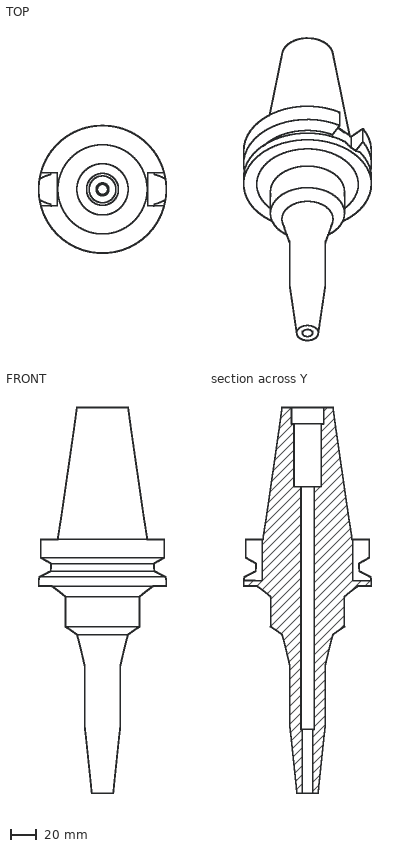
import cadquery as cq
import math

taper_top_z = 101.8
flange_top_z = -1.5
flange_bottom_z = -38.0
groove_top_z = -15.9
groove_bottom_z = -30.8
groove_wall_angle = 30.0
hub_top_z = -46.3
hub_bottom_z = -69.8
neck_top_z = -76.0
shank_top_z = -100.5
shank_bottom_z = -148.0
nose_z = -200.0

gauge_diameter = 69.85
taper_ratio = 7 / 24
flange_diameter = 100.0
groove_floor_diameter = 84.6
collar_diameter = 79.5
hub_diameter = 58.0
neck_top_diameter = 40.0
shank_diameter = 28.0
nose_diameter = 17.0

slot_width = 25.7
slot_floor_x = 35.4
slot_bottom_z = -33.6

counterbore_diameter = 25.0
counterbore_depth = 13.0
thread_bore_diameter = 21.0
thread_bore_depth = 62.0
coolant_bore_diameter = 10.0
coolant_bore_end_z = -150.0
tool_bore_diameter = 8.0


def revolve_about_z(points):
    """Revolve a closed outline of (radius, z) points into a solid about Z."""
    return cq.Workplane("YZ").polyline(points).close().revolve(360, (0, 0, 0), (0, 1, 0))


def make_body():
    """Outer shape of the holder, without the flange groove."""
    taper_top_diameter = gauge_diameter - taper_ratio * taper_top_z
    diameter_and_z = [
        (taper_top_diameter, taper_top_z),
        (gauge_diameter, 0),
        (gauge_diameter, flange_top_z),
        (flange_diameter, flange_top_z),
        (flange_diameter, flange_bottom_z),
        (collar_diameter, flange_bottom_z),
        (hub_diameter, hub_top_z),
        (hub_diameter, hub_bottom_z),
        (neck_top_diameter, neck_top_z),
        (shank_diameter, shank_top_z),
        (shank_diameter, shank_bottom_z),
        (nose_diameter, nose_z),
    ]
    outline = [(diameter / 2, z) for diameter, z in diameter_and_z]
    return revolve_about_z([(0, taper_top_z), *outline, (0, nose_z)])


def make_groove():
    """V-sided, flat-bottomed ring that cuts the gripper groove into the flange."""
    flange_radius = flange_diameter / 2
    floor_radius = groove_floor_diameter / 2
    wall_height = (flange_radius - floor_radius) * math.tan(math.radians(groove_wall_angle))
    return revolve_about_z([
        (flange_radius, groove_top_z),
        (floor_radius, groove_top_z - wall_height),
        (floor_radius, groove_bottom_z + wall_height),
        (flange_radius, groove_bottom_z),
    ])


def make_bore(diameter, end_z):
    """Cylinder from the spindle end down to end_z."""
    length = taper_top_z - end_z
    return cq.Workplane("XY", origin=(0, 0, end_z)).circle(diameter / 2).extrude(length)


def make_drive_slot(side):
    """Round-bottomed key slot on the +X (side = 1) or -X (side = -1) flank of the flange."""
    radius = slot_width / 2
    arc_center_z = slot_bottom_z + radius
    depth = flange_diameter / 2 - slot_floor_x
    return (
        cq.Workplane("YZ", origin=(side * slot_floor_x, 0, 0))
        .moveTo(-radius, flange_top_z)
        .lineTo(-radius, arc_center_z)
        .threePointArc((0, slot_bottom_z), (radius, arc_center_z))
        .lineTo(radius, flange_top_z)
        .close()
        .extrude(side * depth)
    )


bores = [
    (counterbore_diameter, taper_top_z - counterbore_depth),
    (thread_bore_diameter, taper_top_z - thread_bore_depth),
    (coolant_bore_diameter, coolant_bore_end_z),
    (tool_bore_diameter, nose_z),
]

result = make_body().cut(make_groove())
for bore_diameter, bore_end_z in bores:
    result = result.cut(make_bore(bore_diameter, bore_end_z))
for flank in (1, -1):
    result = result.cut(make_drive_slot(flank))